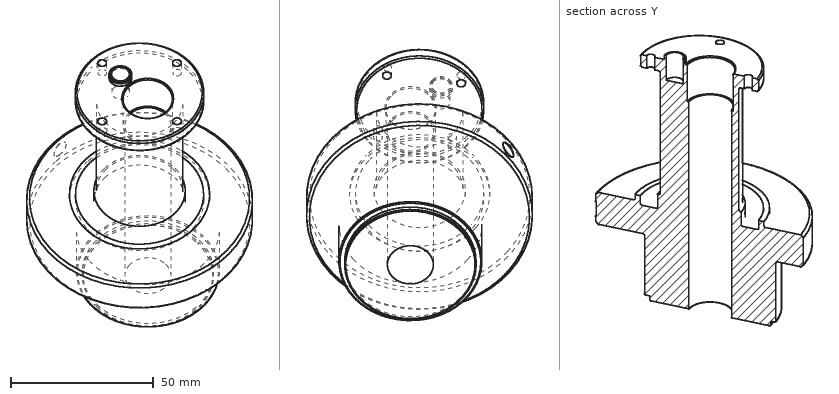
import cadquery as cq
import math

total_height = 100.5
pin_projection = 1.8
flange_thickness = 5.2
flange_top = total_height - pin_projection
flange_bottom = flange_top - flange_thickness
collar_top = 43.7
rim_top = 41.7
disc_top = 39.5
disc_thickness = 13.1
disc_bottom = disc_top - disc_thickness
recess_floor = 38.0
lip_height = 1.9

flange_radius = 22.5
column_radius = 15.1
collar_radius = 16.0
rim_outer_radius = 24.5
rim_inner_radius = 22.4
disc_radius = 39.5
barrel_radius = 25.0
lip_radius = 23.0

disc_chamfer = 1.0
flange_chamfer = 0.6
small_chamfer = 0.4
corner_fillet = 0.5

eccentricity = 4.0
bore_radius = 8.0
bore_mouth_radius = 8.6
bore_mouth_depth = 15.1

pin_offset = 9.4
pin_radius = 4.0
pin_hole_radius = 3.1
pin_hole_depth = 10.0
pin_chamfer = 0.4

bolt_circle_radius = 18.5
bolt_hole_radius = 1.5
bolt_count = 4

spot_height = 32.5
spot_radius = 3.0
spot_depth = 0.2


def cylinder(radius, bottom, top, x=0):
    """Upright cylinder between two heights."""
    return cq.Workplane("XY", origin=(x, 0, bottom)).circle(radius).extrude(top - bottom)


def corner_ring(radius, height, direction, x=0):
    """Concave fillet around a round section where it meets a horizontal face.

    direction is +1 when the section rises from the face, -1 when it hangs below.
    """
    outer = radius + corner_fillet
    end = height + direction * corner_fillet
    sag = corner_fillet * (1 - math.sqrt(0.5))
    profile = (
        cq.Workplane("XZ")
        .moveTo(0, height)
        .lineTo(outer, height)
        .threePointArc((radius + sag, height + direction * sag), (radius, end))
        .lineTo(0, end)
        .close()
    )
    return profile.revolve(360, (0, 0, 0), (0, 1, 0)).translate((x, 0, 0))


def make_disc():
    """Large disc with a raised rim around a shallow annular recess."""
    disc = cylinder(disc_radius, disc_bottom, disc_top).edges().chamfer(disc_chamfer)
    rim = cylinder(rim_outer_radius, disc_top, rim_top)
    recess = cylinder(rim_inner_radius, recess_floor, rim_top)
    recess = recess.faces("<Z").edges().fillet(corner_fillet)
    return disc.union(rim).union(corner_ring(rim_outer_radius, disc_top, 1)).cut(recess)


def make_column():
    """Column standing in the recess on a collar and carrying the top flange."""
    collar = cylinder(collar_radius, recess_floor, collar_top)
    shaft = cylinder(column_radius, collar_top, flange_bottom)
    flange = cylinder(flange_radius, flange_bottom, flange_top).edges().chamfer(flange_chamfer)
    column = collar.union(shaft).union(flange)
    column = column.union(corner_ring(collar_radius, recess_floor, 1))
    column = column.union(corner_ring(column_radius, collar_top, 1))
    return column.union(corner_ring(column_radius, flange_bottom, -1))


def make_barrel():
    """Eccentric barrel below the disc, ending in a narrower lip."""
    barrel = cylinder(barrel_radius, lip_height, disc_bottom, eccentricity)
    barrel = barrel.faces("<Z").edges().chamfer(small_chamfer)
    lip = cylinder(lip_radius, 0, lip_height, eccentricity)
    lip = lip.faces("<Z").edges().chamfer(small_chamfer)
    return barrel.union(lip).union(corner_ring(barrel_radius, disc_bottom, -1, eccentricity))


def make_bore():
    """Through bore with a wider, chamfered mouth at the flange."""
    mouth_bottom = flange_top - bore_mouth_depth
    outline = [
        (0, 0),
        (bore_radius, 0),
        (bore_radius, mouth_bottom),
        (bore_mouth_radius, mouth_bottom),
        (bore_mouth_radius, flange_top - small_chamfer),
        (bore_mouth_radius + small_chamfer, flange_top),
        (0, flange_top),
    ]
    bore = cq.Workplane("XZ").polyline(outline).close().revolve(360, (0, 0, 0), (0, 1, 0))
    return bore.translate((eccentricity, 0, 0))


def make_bolt_holes():
    """Ring of holes through the flange."""
    return (
        cq.Workplane("XY", origin=(0, 0, flange_bottom))
        .polarArray(bolt_circle_radius, 0, 360, bolt_count)
        .circle(bolt_hole_radius)
        .extrude(flange_thickness)
    )


pin = cylinder(pin_radius, flange_bottom, total_height, -pin_offset)
pin = pin.faces(">Z").edges().chamfer(pin_chamfer)
pin_hole = cylinder(pin_hole_radius, total_height - pin_hole_depth, total_height, -pin_offset)

spot = (
    cq.Workplane("YZ", origin=(-disc_radius, 0, spot_height))
    .circle(spot_radius)
    .extrude(spot_depth)
)

result = make_disc().union(make_column()).union(make_barrel()).union(pin)
result = result.cut(make_bore()).cut(pin_hole).cut(make_bolt_holes()).cut(spot)